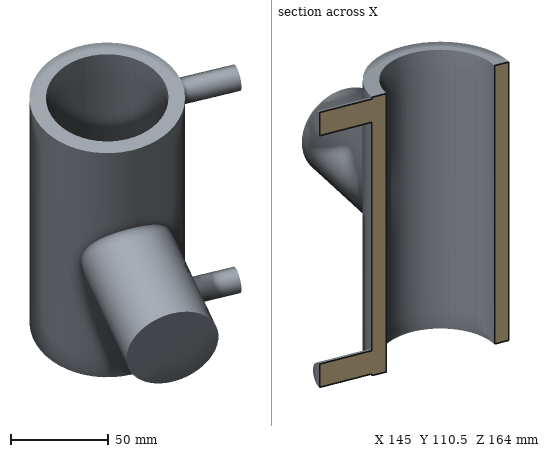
import cadquery as cq

tube_diameter = 80.0
bore_diameter = 63.0
tube_length = 164.0

branch_diameter = 50.0
branch_reach = 105.0

pin_diameter = 14.0
pin_reach = 70.5
pin_end_distance = 8.0
pin_height = tube_length / 2 - pin_end_distance


def upright_cylinder(diameter):
    """Cylinder along Z over the full tube length, centred on the origin."""
    return cq.Workplane("XY").circle(diameter / 2).extrude(tube_length).translate(
        (0, 0, -tube_length / 2)
    )


def branch():
    """Round branch from the tube axis out to its +X end."""
    return cq.Workplane("YZ").circle(branch_diameter / 2).extrude(branch_reach)


def pin(height):
    """Round pin from the tube axis out to its +Y end, at the given height."""
    return cq.Workplane("XZ").center(0, height).circle(pin_diameter / 2).extrude(-pin_reach)


body = upright_cylinder(tube_diameter).union(branch())
for height in (-pin_height, pin_height):
    body = body.union(pin(height))

result = body.cut(upright_cylinder(bore_diameter))